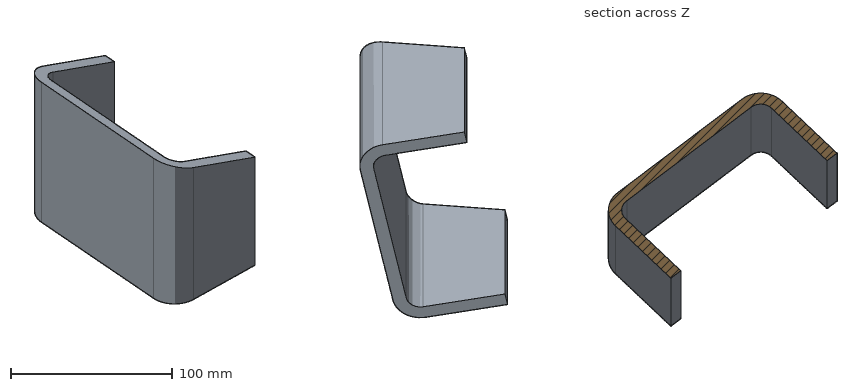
import cadquery as cq
import math

width = 138.39
depth = 69.2
height = 110.24
thickness = 8.5
outer_radius = 17.5
inner_radius = outer_radius - thickness
top_slope = 20.0


def rounded_block(block_width, front_y, corner_radius):
    """Full-height block from front_y to the leg ends, its two front corners rounded."""
    block_depth = depth - front_y
    return (
        cq.Workplane("XY")
        .center(0, front_y + block_depth / 2)
        .rect(block_width, block_depth)
        .extrude(height)
        .edges("|Z and <Y")
        .fillet(corner_radius)
    )


def bent_channel():
    """U-shaped channel of constant thickness, open toward +Y."""
    outside = rounded_block(width, 0, outer_radius)
    inside = rounded_block(width - 2 * thickness, thickness, inner_radius)
    return outside.cut(inside)


def top_wedge():
    """Material removed above the sloping top plane."""
    drop = depth * math.tan(math.radians(top_slope))
    return (
        cq.Workplane("YZ")
        .moveTo(0, height)
        .lineTo(depth, height - drop)
        .lineTo(depth, height)
        .close()
        .extrude(width / 2, both=True)
    )


result = bent_channel().cut(top_wedge())